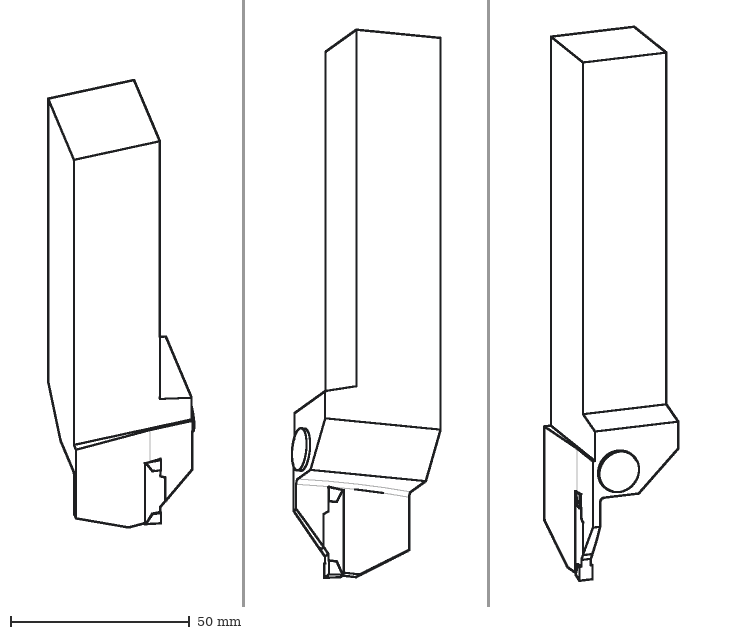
import cadquery as cq

total_height = 152.4
shank_width = 25.0
shank_depth = 25.1

head_depth = 34.5
lug_low_z = 46.6
lug_high_z = 48.9
head_bottom_z = 26.8
head_chamfer = 11.9

disc_diameter = 11.9
disc_x = 18.1
disc_z = 34.3
disc_end_y = 35.5

blade_top_z = 38.0
blade_bottom_z = 1.0
blade_outer_front_x = 27.0
blade_outer_back_x = 25.6
blade_taper_depth = 22.1
blade_inner_front_x = 25.3
blade_inner_min_x = 22.5
blade_nose_y = 15.7
blade_front_z = 10.4
jaw_low_z = 18.5
root_fillet = 1.2

insert_length = 25.5
insert_seat_y = 20.5
insert_top_y = 25.1
insert_hump_y = 26.5
insert_low_shoulder_z = 6.1
insert_low_hump_z = 8.0
insert_high_hump_z = 17.5
insert_high_shoulder_z = 18.5
end_relief = 0.5
insert_mid_x = 24.1
insert_body_width = 2.9
insert_edge_width = 4.0
tip_length = 4.1
tip_ledge_y = 22.7
tip_toe_y = 21.3
tip_toe_z = 1.4


def side_profile(points, x_start, x_end):
    """Extrude a closed (y, z) outline between two X positions."""
    outline = cq.Workplane("YZ").workplane(offset=x_start).polyline(points).close()
    return outline.extrude(x_end - x_start)


def make_body():
    """Shank and head, with the lower -X corner cut off at 45 degrees."""
    body = side_profile(
        [
            (0, head_bottom_z),
            (head_depth, head_bottom_z),
            (head_depth, lug_low_z),
            (shank_depth, lug_high_z),
            (shank_depth, total_height),
            (0, total_height),
        ],
        0,
        shank_width,
    )
    corner = (
        cq.Workplane("XZ")
        .polyline(
            [
                (0, head_bottom_z),
                (head_chamfer, head_bottom_z),
                (0, head_bottom_z + head_chamfer),
            ]
        )
        .close()
        .extrude(-head_depth)
    )
    return body.cut(corner)


def make_blade():
    """Plan section of the blade, trimmed to its side outline."""
    sagitta = blade_inner_front_x - blade_inner_min_x
    radius = (blade_taper_depth**2 + sagitta**2) / (2 * sagitta)
    past_center = head_depth - blade_taper_depth
    inner_back_x = blade_inner_min_x + radius - (radius**2 - past_center**2) ** 0.5

    plan = (
        cq.Workplane("XY")
        .moveTo(blade_inner_front_x, 0)
        .lineTo(blade_outer_front_x, 0)
        .lineTo(blade_outer_back_x, blade_taper_depth)
        .lineTo(blade_outer_back_x, head_depth)
        .lineTo(inner_back_x, head_depth)
        .threePointArc((blade_inner_min_x, blade_taper_depth), (blade_inner_front_x, 0))
        .close()
        .extrude(blade_top_z)
    )
    outline = side_profile(
        [
            (0, blade_front_z),
            (blade_nose_y, blade_bottom_z),
            (insert_seat_y, blade_bottom_z),
            (insert_top_y, insert_low_shoulder_z),
            (insert_hump_y, insert_low_hump_z),
            (head_depth, jaw_low_z),
            (head_depth, blade_top_z),
            (0, blade_top_z),
        ],
        0,
        blade_outer_front_x,
    )
    return plan.intersect(outline)


def make_blade_backing():
    """Fills the head out to the blade's +X side, above the underside of the head."""
    return (
        cq.Workplane("XY", origin=(0, 0, head_bottom_z))
        .polyline(
            [
                (blade_inner_min_x, 0),
                (blade_outer_front_x, 0),
                (blade_outer_back_x, blade_taper_depth),
                (blade_outer_back_x, head_depth),
                (blade_inner_min_x, head_depth),
            ]
        )
        .close()
        .extrude(blade_top_z - head_bottom_z)
    )


def make_disc():
    center = cq.Vector(disc_x, head_depth, disc_z)
    height = disc_end_y - head_depth
    return cq.Workplane(cq.Solid.makeCylinder(disc_diameter / 2, height, center, cq.Vector(0, 1, 0)))


def insert_profile(width):
    """Side outline of the insert, centred on its mid plane."""
    points = [
        (insert_seat_y, end_relief),
        (insert_top_y, 0),
        (insert_top_y, insert_low_shoulder_z),
        (insert_hump_y, insert_low_hump_z),
        (insert_hump_y, insert_high_hump_z),
        (insert_top_y, insert_high_shoulder_z),
        (insert_top_y, insert_length),
        (insert_seat_y, insert_length - end_relief),
    ]
    return side_profile(points, insert_mid_x - width / 2, insert_mid_x + width / 2)


def make_tip():
    """Lower cutting tip, widening from the seat to the cutting edge."""
    half_edge = insert_edge_width / 2
    half_body = insert_body_width / 2
    outline = side_profile(
        [
            (insert_top_y, 0),
            (insert_top_y, tip_length),
            (tip_ledge_y, tip_length),
            (tip_toe_y, tip_toe_z),
            (insert_seat_y, end_relief),
        ],
        insert_mid_x - half_edge,
        insert_mid_x + half_edge,
    )
    wedge = (
        cq.Workplane("XY")
        .polyline(
            [
                (insert_mid_x - half_body, insert_seat_y),
                (insert_mid_x + half_body, insert_seat_y),
                (insert_mid_x + half_edge, insert_top_y),
                (insert_mid_x - half_edge, insert_top_y),
            ]
        )
        .close()
        .extrude(tip_length)
    )
    return outline.intersect(wedge)


def make_insert():
    lower_tip = make_tip()
    upper_tip = lower_tip.mirror("XY", (0, 0, insert_length / 2))
    return insert_profile(insert_body_width).union(lower_tip).union(upper_tip)


def make_holder():
    """Body, blade and disc as one solid, with a slot that seats the insert."""
    holder = make_body().union(make_blade_backing()).union(make_blade())
    blade_root = cq.selectors.BoxSelector(
        (blade_inner_min_x - root_fillet, -root_fillet, head_bottom_z - root_fillet / 2),
        (blade_inner_front_x, head_depth + root_fillet, head_bottom_z + root_fillet / 2),
    )
    holder = holder.edges(blade_root).fillet(root_fillet)
    slot = insert_profile(shank_width)
    return holder.union(make_disc()).cut(slot)


holder = make_holder()
insert = make_insert()

result = cq.Compound.makeCompound([holder.solids().val(), insert.solids().val()])